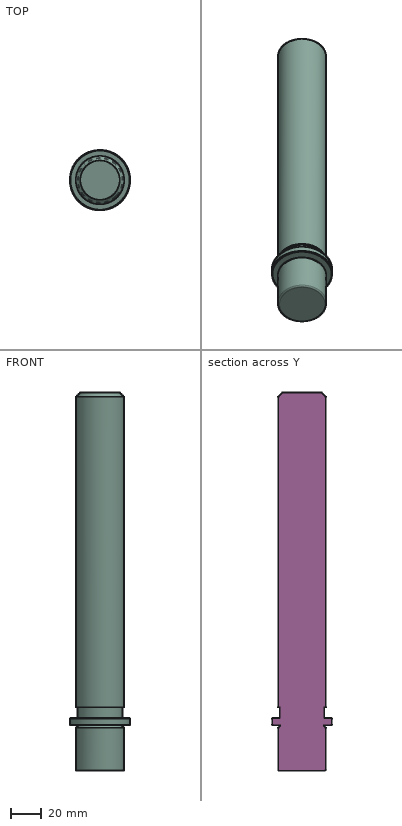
import cadquery as cq

total_length = 250.0
shaft_diameter = 32.0
collar_diameter = 40.0
neck_diameter = 30.0

collar_bottom = 30.0
collar_thickness = 5.0
neck_length = 7.0

tip_chamfer = 3.0
collar_chamfer = 0.5
spigot_chamfer = 1.5
spigot_fillet = 1.0

collar_top = collar_bottom + collar_thickness
shaft_bottom = collar_top + neck_length


def cylinder(diameter, bottom, top):
    """Upright cylinder centred on the Z axis."""
    return cq.Workplane("XY").workplane(offset=bottom).circle(diameter / 2).extrude(top - bottom)


def make_spigot():
    """Plug below the collar, chamfered where it meets the collar and rounded at the bottom."""
    spigot = cylinder(shaft_diameter, 0, collar_bottom)
    spigot = spigot.faces(">Z").chamfer(spigot_chamfer)
    return spigot.faces("<Z").edges().fillet(spigot_fillet)


def make_collar():
    """Flange ring with both rims broken."""
    collar = cylinder(collar_diameter, collar_bottom, collar_top)
    return collar.faces("<Z or >Z").edges().chamfer(collar_chamfer)


def make_shaft():
    """Long shaft with a chamfered lead-in tip."""
    shaft = cylinder(shaft_diameter, shaft_bottom, total_length)
    return shaft.faces(">Z").chamfer(tip_chamfer)


neck = cylinder(neck_diameter, collar_top, shaft_bottom)
result = make_spigot().union(make_collar()).union(neck).union(make_shaft())